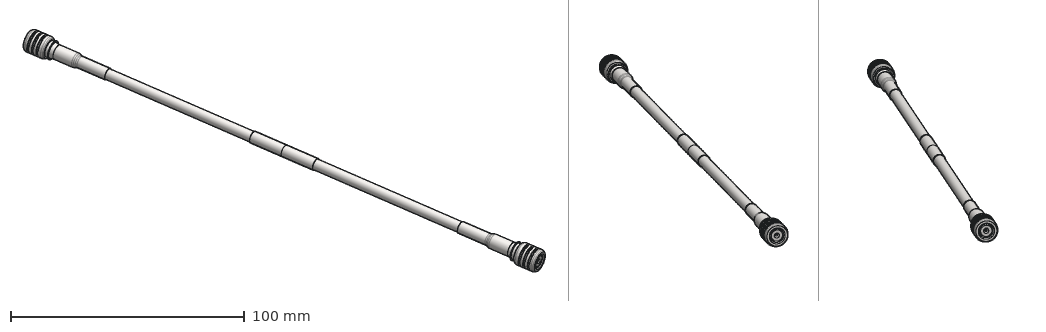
import cadquery as cq


overall_length = 257.07
half_length = overall_length / 2

cable_radius = 2.5
sleeve_radius = 2.8
marker_length = 31.7

nut_radius = 10.41 / 2
nut_length = 10.45
nut_end_radius = 4.55
nut_chamfer_length = 0.5
nut_chamfer_radius = 4.95
nut_round_length = 0.75
nut_round_middle_rise = 0.75
groove_radius = 4.5
groove_width = 0.9
first_groove = 2.24
groove_pitch = 2.285
groove_count = 3

neck_radius = 3.75
neck_small_radius = 3.2
flange_radius = 4.4
flange_start = 12.1
flange_end = 12.35

plug_length = 14.25

boot_length = 25.6
boot_wide_radius = 3.4
boot_wide_length = 9.35
boot_arc_length = 0.8
boot_arc_drop = 0.15
boot_slope_length = 0.75

socket_radius = 3.05
socket_mouth_chamfer = 0.5
socket_depth = 6.0
shell_radius = 2.5
shell_recess = 0.5
shell_bore_radius = 1.1
pin_radius = 0.4
pin_recess = 1.0


def cylinder(radius, start, end):
    """Solid cylinder on the X axis between two X positions."""
    return cq.Workplane("YZ", origin=(start, 0, 0)).circle(radius).extrude(end - start)


def plug_outline():
    """Closed half section of the plug's outside, from the mating face at X = 0."""
    round_start = nut_chamfer_length
    round_end = round_start + nut_round_length
    round_middle = (round_start + round_end) / 2
    round_rise = nut_radius - nut_chamfer_radius
    round_middle_radius = nut_chamfer_radius + nut_round_middle_rise * round_rise

    outline = (
        cq.Workplane("XY")
        .lineTo(0, nut_end_radius)
        .lineTo(round_start, nut_chamfer_radius)
        .threePointArc((round_middle, round_middle_radius), (round_end, nut_radius))
    )
    for number in range(groove_count):
        start = first_groove + number * groove_pitch
        end = start + groove_width
        outline = (
            outline.lineTo(start, nut_radius)
            .lineTo(start, groove_radius)
            .lineTo(end, groove_radius)
            .lineTo(end, nut_radius)
        )
    return (
        outline.lineTo(nut_length - round_end, nut_radius)
        .threePointArc(
            (nut_length - round_middle, round_middle_radius),
            (nut_length - round_start, nut_chamfer_radius),
        )
        .lineTo(nut_length, nut_end_radius)
        .lineTo(nut_length, neck_radius)
        .lineTo(flange_start, neck_radius)
        .lineTo(flange_start, flange_radius)
        .lineTo(flange_end, flange_radius)
        .lineTo(flange_end, neck_radius)
        .lineTo(plug_length, neck_small_radius)
        .lineTo(plug_length, 0)
        .close()
    )


def make_plug():
    """Plug with its mating face at X = 0, reaching toward +X."""
    body = plug_outline().revolve(360, (0, 0, 0), (1, 0, 0))
    shell = cylinder(shell_radius, shell_recess, socket_depth)
    shell = shell.cut(cylinder(shell_bore_radius, shell_recess, socket_depth))
    pin = cylinder(pin_radius, pin_recess, socket_depth)
    socket = cylinder(socket_radius, 0, socket_depth)
    mouth = cylinder(
        socket_radius + socket_mouth_chamfer, -socket_mouth_chamfer, socket_mouth_chamfer
    )
    mouth = mouth.faces(">X").chamfer(socket_mouth_chamfer)
    return body.cut(socket).cut(mouth).union(shell).union(pin)


def make_boot():
    """Stepped tube around the cable with its wide end at X = 0, reaching toward +X."""
    slope_start = boot_wide_length + boot_arc_length
    slope_end = slope_start + boot_slope_length
    step_end = slope_end + boot_arc_length
    outline = (
        cq.Workplane("XY")
        .moveTo(0, cable_radius)
        .lineTo(0, boot_wide_radius)
        .lineTo(boot_wide_length, boot_wide_radius)
        .tangentArcPoint((slope_start, boot_wide_radius - boot_arc_drop), relative=False)
        .lineTo(slope_end, sleeve_radius + boot_arc_drop)
        .tangentArcPoint((step_end, sleeve_radius), relative=False)
        .lineTo(boot_length, sleeve_radius)
        .lineTo(boot_length, cable_radius)
        .close()
    )
    return outline.revolve(360, (0, 0, 0), (1, 0, 0))


def make_cable():
    """Cable length from the back of the -X plug to the middle of the assembly."""
    return cylinder(cable_radius, plug_length - half_length, 0)


def make_marker_sleeve():
    """Tube around the meeting ends of the two cable lengths."""
    sleeve_end = marker_length / 2
    sleeve = cylinder(sleeve_radius, -sleeve_end, sleeve_end)
    return sleeve.cut(cylinder(cable_radius, -sleeve_end, sleeve_end))


left_bodies = [
    make_plug().translate((-half_length, 0, 0)),
    make_boot().translate((plug_length - half_length, 0, 0)),
    make_cable(),
]
solids = [make_marker_sleeve().val()]
for body in left_bodies:
    for half_turn in (0, 180):
        solids.append(body.rotate((0, 0, 0), (0, 0, 1), half_turn).val())

result = cq.Compound.makeCompound(solids)